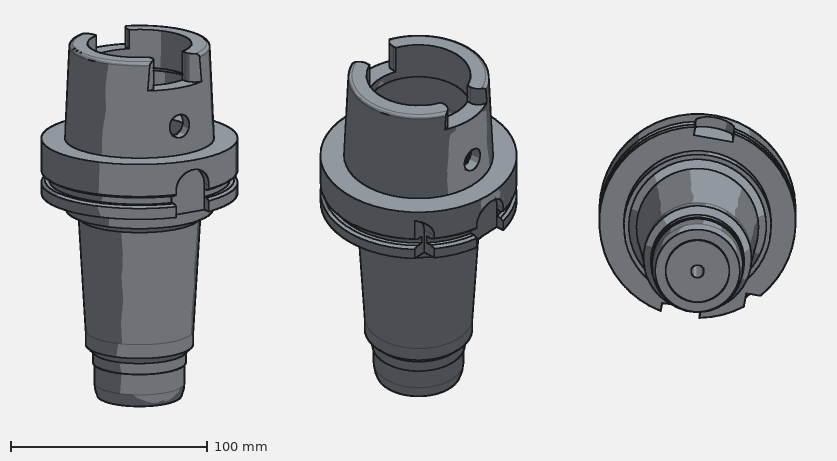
import cadquery as cq
import math


shank_height = 50.0
shank_base_radius = 38.0
shank_top_radius = 35.75
shank_edge_round = 1.8

flange_radius = 50.0
flange_height = 29.0
groove_center = -20.15
groove_radius = 46.0
groove_shoulder_radius = 48.2
groove_half_width = 2.0
groove_flare_angle = 33.0
groove_flare_height = (flange_radius - groove_shoulder_radius) * math.tan(math.radians(groove_flare_angle))

collar_radius = 37.5
collar_bottom = -37.4
neck_radius = 35.0
neck_drop = 3.9

body_top_radius = neck_radius - neck_drop
body_top = collar_bottom - neck_drop
body_bottom_radius = 27.5
body_taper_end = -101.4
body_bottom = -108.8

nose_top_radius = 23.75
nose_top = body_bottom - (body_bottom_radius - nose_top_radius)
nose_radius = 23.0
nose_step = -118.4
nose_round_start = -129.2
nose_end_radius = 21.5
nose_end = -135.9
nose_bulge = 0.4
spigot_radius = 16.2
part_bottom = -137.4

bore_radius = 26.5
bore_lip_depth = 20.0
bore_relief_radius = 31.5
bore_relief_angle = 60.0
bore_relief_depth = 41.0
bore_depth = 62.0
counterbore_radius = 12.2
counterbore_depth = 10.0
pilot_radius = 6.0
pilot_depth = 10.0
through_radius = 3.3

keyway_half_width = 10.0
keyway_depth_left = 10.0
keyway_depth_right = 15.0
keyway_corner_radius = 6.0
keyway_shoulder = 32.5

cross_hole_radius = 6.0
cross_hole_height = 15.0

pocket_radius = 10.0
pocket_top = -5.0
side_pocket_floor = 44.6
corner_pocket_floor = 32.0
corner_pocket_y = 41.2


def revolve_about_z(profile):
    return profile.close().revolve(360, (0, 0, 0), (0, 1, 0))


def make_body():
    groove_top = groove_center + groove_half_width
    groove_bottom = groove_center - groove_half_width
    bulge_point = (
        (nose_radius + nose_end_radius) / 2 + nose_bulge,
        (nose_round_start + nose_end) / 2,
    )
    profile = (
        cq.Workplane("XZ")
        .moveTo(0, shank_height)
        .lineTo(shank_top_radius, shank_height)
        .lineTo(shank_base_radius, 0)
        .lineTo(flange_radius, 0)
        .lineTo(flange_radius, groove_top + groove_flare_height)
        .lineTo(groove_shoulder_radius, groove_top)
        .lineTo(groove_radius, groove_top)
        .lineTo(groove_radius, groove_bottom)
        .lineTo(groove_shoulder_radius, groove_bottom)
        .lineTo(flange_radius, groove_bottom - groove_flare_height)
        .lineTo(flange_radius, -flange_height)
        .lineTo(collar_radius, -flange_height)
        .lineTo(collar_radius, collar_bottom)
        .lineTo(neck_radius, collar_bottom)
        .lineTo(body_top_radius, body_top)
        .lineTo(body_bottom_radius, body_taper_end)
        .lineTo(body_bottom_radius, body_bottom)
        .lineTo(nose_top_radius, nose_top)
        .lineTo(nose_top_radius, nose_step)
        .lineTo(nose_radius, nose_step)
        .lineTo(nose_radius, nose_round_start)
        .threePointArc(bulge_point, (nose_end_radius, nose_end))
        .lineTo(spigot_radius, nose_end)
        .lineTo(spigot_radius, part_bottom)
        .lineTo(0, part_bottom)
    )
    return revolve_about_z(profile).faces(">Z").edges().fillet(shank_edge_round)


def make_bore():
    lip_end = shank_height - bore_lip_depth
    flare_height = (bore_relief_radius - bore_radius) / math.tan(math.radians(bore_relief_angle))
    relief_end = shank_height - bore_relief_depth
    curve_radius = bore_relief_radius - bore_radius
    bore_floor = shank_height - bore_depth
    counterbore_floor = bore_floor - counterbore_depth
    pilot_floor = counterbore_floor - pilot_depth
    profile = (
        cq.Workplane("XZ")
        .moveTo(0, shank_height)
        .lineTo(bore_radius, shank_height)
        .lineTo(bore_radius, lip_end)
        .lineTo(bore_relief_radius, lip_end - flare_height)
        .lineTo(bore_relief_radius, relief_end)
        .radiusArc((bore_radius, relief_end - curve_radius), curve_radius)
        .lineTo(bore_radius, bore_floor)
        .lineTo(counterbore_radius, bore_floor)
        .lineTo(counterbore_radius, counterbore_floor)
        .lineTo(pilot_radius, counterbore_floor)
        .lineTo(pilot_radius, pilot_floor)
        .lineTo(through_radius, pilot_floor)
        .lineTo(through_radius, part_bottom)
        .lineTo(0, part_bottom)
    )
    return revolve_about_z(profile)


def make_keyway(side, depth):
    """Slot through one wall of the shank; side is -1 for -X and +1 for +X."""
    corner_center_x = keyway_shoulder - keyway_corner_radius
    corner_end_y = keyway_half_width + keyway_corner_radius
    corner_diagonal = keyway_corner_radius / math.sqrt(2)
    corner_mid_x = corner_center_x + corner_diagonal
    corner_mid_y = corner_end_y - corner_diagonal
    outer_y = corner_end_y + keyway_corner_radius
    return (
        cq.Workplane("XY", origin=(0, 0, shank_height - depth))
        .moveTo(0, -keyway_half_width)
        .lineTo(side * corner_center_x, -keyway_half_width)
        .threePointArc((side * corner_mid_x, -corner_mid_y), (side * keyway_shoulder, -corner_end_y))
        .lineTo(side * keyway_shoulder, -outer_y)
        .lineTo(side * flange_radius, -outer_y)
        .lineTo(side * flange_radius, outer_y)
        .lineTo(side * keyway_shoulder, outer_y)
        .lineTo(side * keyway_shoulder, corner_end_y)
        .threePointArc((side * corner_mid_x, corner_mid_y), (side * corner_center_x, keyway_half_width))
        .lineTo(0, keyway_half_width)
        .close()
        .extrude(depth)
    )


def make_cross_hole():
    return (
        cq.Workplane("YZ")
        .center(0, cross_hole_height)
        .circle(cross_hole_radius)
        .extrude(shank_base_radius, both=True)
    )


def make_flange_pocket(side, center_y, floor_distance):
    """Round-topped pocket, open at the flange underside, with its flat floor facing along X."""
    arch_center_z = pocket_top - pocket_radius
    return (
        cq.Workplane("YZ", origin=(side * floor_distance, center_y, 0))
        .moveTo(-pocket_radius, -flange_height)
        .lineTo(-pocket_radius, arch_center_z)
        .threePointArc((0, pocket_top), (pocket_radius, arch_center_z))
        .lineTo(pocket_radius, -flange_height)
        .close()
        .extrude(side * (flange_radius - floor_distance))
    )


result = make_body().cut(make_bore()).cut(make_cross_hole())
for side, depth in ((-1, keyway_depth_left), (1, keyway_depth_right)):
    result = result.cut(make_keyway(side, depth))
    result = result.cut(make_flange_pocket(side, 0, side_pocket_floor))
result = result.cut(make_flange_pocket(-1, corner_pocket_y, corner_pocket_floor))